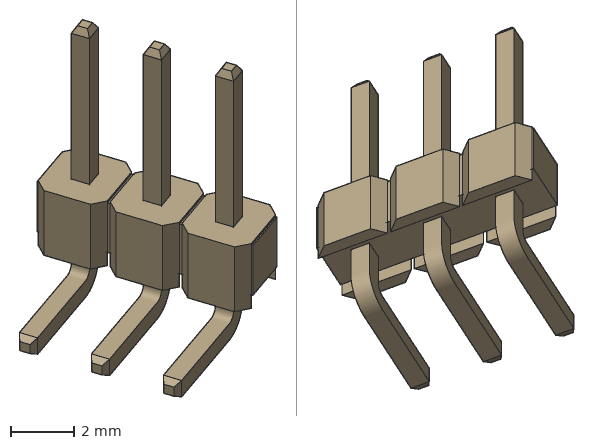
import cadquery as cq


pin_count = 3
row_length = 7.62
pitch = row_length / pin_count
pin_positions = [(i - (pin_count - 1) / 2) * pitch for i in range(pin_count)]

block_gap = 0.1
block_width = pitch - block_gap
block_depth = 2.51
block_height = pitch
block_base = 1.71
corner_cut = 0.4
bridge_depth = block_depth - 2 * corner_cut
bridge_top_drop = 0.07
channel_depth = 0.52
bridge_base = block_base + channel_depth
bridge_height = block_height - bridge_top_drop - channel_depth

pin_side = 0.64
pin_top = 10.22
tail_reach = 4.24
inner_bend_radius = 0.3
outer_bend_radius = inner_bend_radius + pin_side
tip_length = 0.26
tip_side = 0.36


def box_on(base, length, depth, height, center_x=0):
    """Box centered on the row, standing on the height `base`."""
    return (
        cq.Workplane("XY", origin=(center_x, 0, base))
        .rect(length, depth)
        .extrude(height)
    )


def make_block(center_x):
    """Eight-sided block that surrounds one pin."""
    half_x = block_width / 2
    half_y = block_depth / 2
    flat_x = half_x - corner_cut
    flat_y = half_y - corner_cut
    outline = [
        (flat_x, half_y),
        (half_x, flat_y),
        (half_x, -flat_y),
        (flat_x, -half_y),
        (-flat_x, -half_y),
        (-half_x, -flat_y),
        (-half_x, flat_y),
        (-flat_x, half_y),
    ]
    return (
        cq.Workplane("XY", origin=(center_x, 0, block_base))
        .polyline(outline)
        .close()
        .extrude(block_height)
    )


def make_housing():
    """Blocks joined by a bridge, with a channel underneath and square pin holes."""
    housing = box_on(bridge_base, row_length, bridge_depth, bridge_height)
    for x in pin_positions:
        housing = housing.union(make_block(x))
    housing = housing.cut(box_on(block_base, row_length, bridge_depth, channel_depth))
    for x in pin_positions:
        housing = housing.cut(box_on(block_base, pin_side, pin_side, block_height, x))
    return housing


def make_tip(base_plane):
    """Tapered pin end that grows from the square end of a straight stretch."""
    return (
        cq.Workplane(base_plane)
        .rect(pin_side, pin_side)
        .workplane(offset=tip_length)
        .rect(tip_side, tip_side)
        .loft(ruled=True)
    )


def make_pin(center_x):
    """Square pin that stands upright and bends to a tail along -Y."""
    half_side = pin_side / 2
    post_end = pin_top - tip_length
    tail_end = -tail_reach + tip_length
    shaft = (
        cq.Workplane("YZ", origin=(center_x - half_side, 0, 0))
        .moveTo(half_side, post_end)
        .lineTo(half_side, outer_bend_radius)
        .radiusArc((half_side - outer_bend_radius, 0), outer_bend_radius)
        .lineTo(tail_end, 0)
        .lineTo(tail_end, pin_side)
        .lineTo(-half_side - inner_bend_radius, pin_side)
        .radiusArc((-half_side, pin_side + inner_bend_radius), -inner_bend_radius)
        .lineTo(-half_side, post_end)
        .close()
        .extrude(pin_side)
    )
    post_plane = cq.Plane(origin=(center_x, 0, post_end), xDir=(1, 0, 0), normal=(0, 0, 1))
    tail_plane = cq.Plane(origin=(center_x, tail_end, half_side), xDir=(1, 0, 0), normal=(0, -1, 0))
    return shaft.union(make_tip(post_plane)).union(make_tip(tail_plane))


housing = make_housing()
pins = [make_pin(x) for x in pin_positions]

result = cq.Compound.makeCompound([housing.solids().val(), *[pin.solids().val() for pin in pins]])